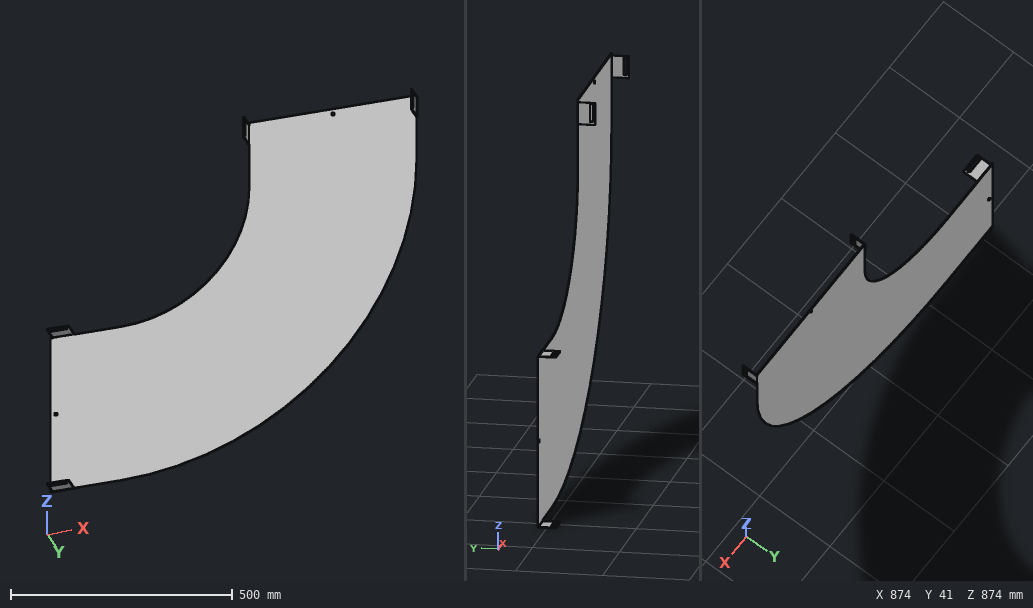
import cadquery as cq
import math

outer_size = 874.0
total_depth = 41.0
sheet = 1.5
cover_width = 398.0
inner_radius = 307.0
tab_length = 51.5
tab_setback = 5.0
rim_corner_radius = 3.0
slot_length = 43.0
slot_width = 7.0
slot_setback = 2.0
slot_to_rim = 9.0
hole_diameter = 6.3
hole_setback = 13.0

outer_radius = inner_radius + cover_width
middle_radius = inner_radius + cover_width / 2
leg_length = outer_size - sheet - outer_radius


def bend_cover():
    """Flat quarter-bend sheet with a straight leg at each end."""
    diagonal = math.sqrt(0.5)
    outer_middle = outer_radius * diagonal
    inner_middle = inner_radius * diagonal
    return (
        cq.Workplane("XZ")
        .moveTo(-leg_length, -outer_radius)
        .lineTo(0, -outer_radius)
        .threePointArc((outer_middle, -outer_middle), (outer_radius, 0))
        .lineTo(outer_radius, leg_length)
        .lineTo(inner_radius, leg_length)
        .lineTo(inner_radius, 0)
        .threePointArc((inner_middle, -inner_middle), (0, -inner_radius))
        .lineTo(-leg_length, -inner_radius)
        .close()
        .extrude(sheet)
    )


def slotted_tab(wall_x):
    """Tab on the +Z leg with its low-X face at wall_x and a round-ended slot through it."""
    tab_end = leg_length - tab_setback
    tab = cq.Workplane("XY").box(sheet, total_depth, tab_length, centered=False)
    tab = tab.translate((wall_x, -total_depth, tab_end - tab_length))
    tab = tab.edges("|X and <Y").fillet(rim_corner_radius)
    slot = (
        cq.Workplane("YZ", origin=(wall_x, 0, 0))
        .center(slot_to_rim - total_depth, tab_end - slot_setback - slot_length / 2)
        .slot2D(slot_length, slot_width, 90)
        .extrude(sheet)
    )
    return tab.cut(slot)


def leg_hole():
    """Cutter for the small hole on the centre line of the +Z leg."""
    return (
        cq.Workplane("XZ")
        .center(middle_radius, leg_length - hole_setback)
        .circle(hole_diameter / 2)
        .extrude(sheet)
    )


def on_other_leg(body):
    """Copy from the +Z leg to the -X leg by reflecting in the plane x = -z."""
    return body.mirror("XY").rotate((0, 0, 0), (0, 1, 0), 90)


result = bend_cover().cut(leg_hole()).cut(on_other_leg(leg_hole()))

for wall_x in (inner_radius - sheet, outer_radius):
    tab = slotted_tab(wall_x)
    result = result.union(tab).union(on_other_leg(tab))